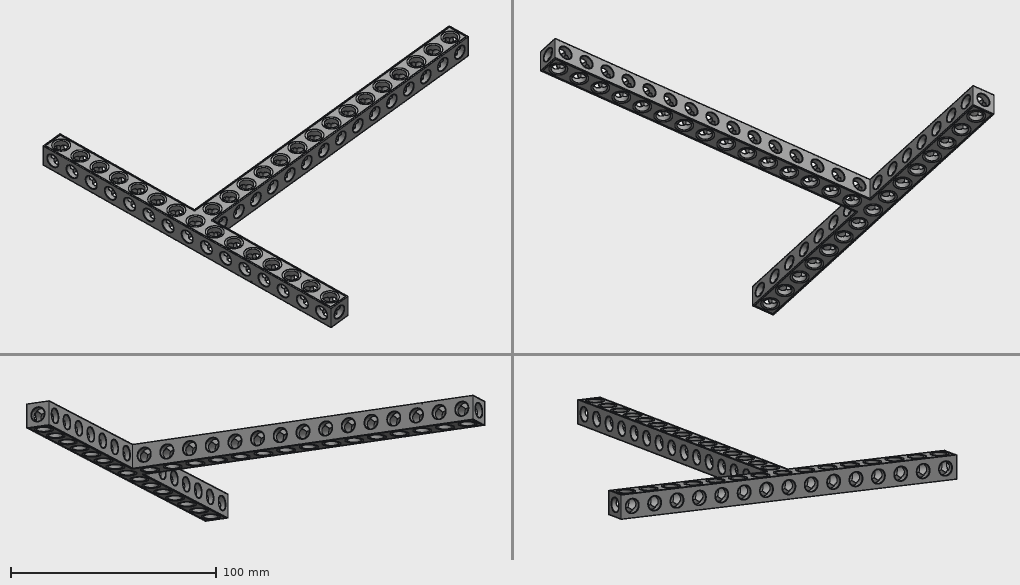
import cadquery as cq

length = 200.0
pitch_count = 16
crossbar_cells = 15
stem_cells = pitch_count - 1

hole_diameter = 7.0
vertical_rim_diameter = 9.2
side_rim_diameter = 7.5
rim_depth = 0.2

ledge_width = 0.8
ledge_depth = 0.2

pitch = length / pitch_count
half = pitch / 2
crossbar_length = crossbar_cells * pitch
half_crossbar = crossbar_length / 2
stem_tip = length - half
crossbar_places = [(cell - crossbar_cells // 2) * pitch for cell in range(crossbar_cells)]
stem_places = [(cell + 1) * pitch for cell in range(stem_cells)]


def tee(inset, height):
    """T-shaped slab centred on Z = 0, its outline moved inward by inset."""
    crossbar = cq.Workplane("XY").box(crossbar_length - 2 * inset, pitch - 2 * inset, height)
    stem = cq.Workplane("XY").box(pitch - 2 * inset, length - 2 * inset, height)
    return crossbar.union(stem.translate((0, length / 2 - half, 0)))


def rimmed_hole(start, end, rim_diameter):
    """Cutters for a through hole from start to end with a shallow counterbore at both mouths."""
    start = cq.Vector(*start)
    end = cq.Vector(*end)
    axis = end - start
    return [
        cq.Solid.makeCylinder(hole_diameter / 2, axis.Length, start, axis),
        cq.Solid.makeCylinder(rim_diameter / 2, rim_depth, start, axis),
        cq.Solid.makeCylinder(rim_diameter / 2, rim_depth, end, -axis),
    ]


body = tee(0, pitch - 2 * ledge_depth).union(tee(ledge_width, pitch))

cutters = []

cell_centres = [(x, 0) for x in crossbar_places] + [(0, y) for y in stem_places]
for x, y in cell_centres:
    cutters += rimmed_hole((x, y, -half), (x, y, half), vertical_rim_diameter)

for x in crossbar_places:
    back = stem_tip if x == 0 else half
    cutters += rimmed_hole((x, -half, 0), (x, back, 0), side_rim_diameter)

cutters += rimmed_hole((-half_crossbar, 0, 0), (half_crossbar, 0, 0), side_rim_diameter)
for y in stem_places:
    cutters += rimmed_hole((-half, y, 0), (half, y, 0), side_rim_diameter)

result = cq.Workplane(body.val().cut(*cutters).Solids()[0])